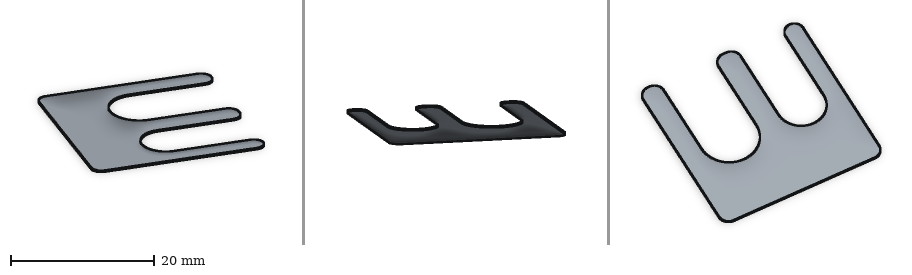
import cadquery as cq

side = 25.4
thickness = 0.25
corner_radius = 1.5

wide_slot_x = -5.1
wide_slot_width = 8.64
narrow_slot_x = 6.32
narrow_slot_width = 7.1
slot_end_y = 0.0

tip_radius = 1.5
narrow_tip_radius = 1.4


def open_slot(center_x, width):
    """Cutter with a round inner end, running out through the +Y edge."""
    length = side / 2 - slot_end_y
    channel = (
        cq.Workplane("XY")
        .center(center_x, slot_end_y + length / 2)
        .rect(width, length)
        .extrude(thickness)
    )
    round_end = cq.Workplane("XY").center(center_x, slot_end_y).circle(width / 2).extrude(thickness)
    return channel.union(round_end)


plate = cq.Workplane("XY").rect(side, side).extrude(thickness)
plate = plate.cut(open_slot(wide_slot_x, wide_slot_width))
plate = plate.cut(open_slot(narrow_slot_x, narrow_slot_width))

plate = plate.edges("|Z and <Y").fillet(corner_radius)

tip_edges = plate.edges("|Z and >Y")
narrow_tip_edges = tip_edges.filter(lambda edge: edge.Center().x > narrow_slot_x)
plate = narrow_tip_edges.fillet(narrow_tip_radius)
result = plate.edges("|Z and >Y").fillet(tip_radius)